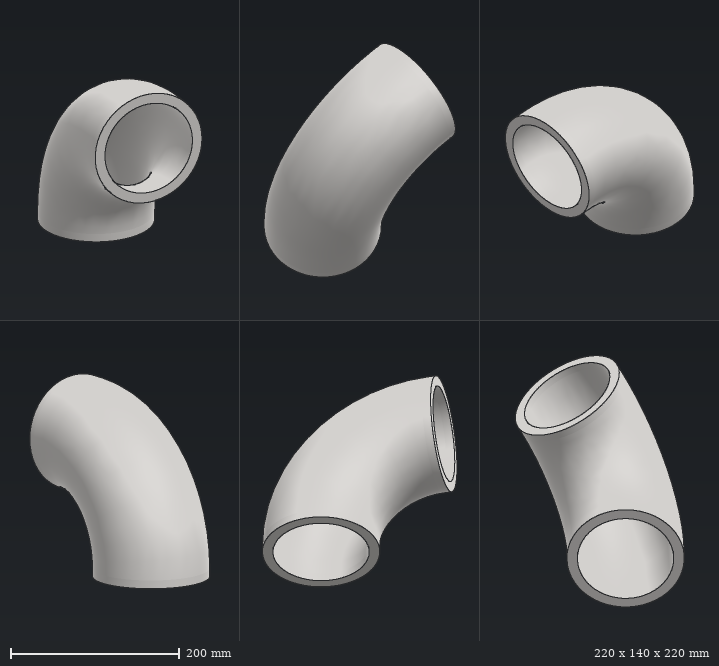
import cadquery as cq

outer_diameter = 140.0
bore_diameter = 114.6
bend_radius = 140.0
bend_angle = 90.0
spigot_length = 10.0

bend_centre_height = spigot_length
upper_axis_height = bend_centre_height + bend_radius


def ring(plane):
    """Pipe wall cross-section centred on the given plane."""
    return cq.Workplane(plane).circle(outer_diameter / 2).circle(bore_diameter / 2)


def lower_spigot():
    return ring(cq.Plane.XY()).extrude(spigot_length)


def bend():
    """Wall section revolved about a Y-parallel axis through the bend centre."""
    start_plane = cq.Plane(origin=(0, 0, bend_centre_height), xDir=(1, 0, 0), normal=(0, 0, 1))
    return ring(start_plane).revolve(bend_angle, (bend_radius, 0), (bend_radius, 1))


def upper_spigot():
    end_plane = cq.Plane(origin=(bend_radius, 0, upper_axis_height), xDir=(0, 1, 0), normal=(1, 0, 0))
    return ring(end_plane).extrude(spigot_length)


result = lower_spigot().union(bend()).union(upper_spigot())